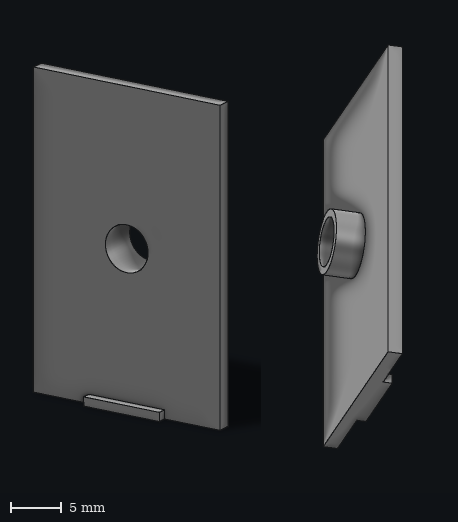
import cadquery as cq

plate_width = 22.0
plate_thickness = 1.5
plate_height = 34.0

boss_diameter = 6.6
boss_length = 3.0
bore_diameter = 5.0

lip_width = 8.9
lip_depth = 0.95
lip_height = 1.0

rear_face_y = plate_thickness / 2
front_face_y = -plate_thickness / 2
bottom_z = -plate_height / 2


def make_plate():
    return cq.Workplane("XY").box(plate_width, plate_thickness, plate_height)


def make_boss():
    return (
        cq.Workplane("XZ", origin=(0, rear_face_y, 0))
        .circle(boss_diameter / 2)
        .extrude(-boss_length)
    )


def make_lip():
    return (
        cq.Workplane("XY", origin=(0, front_face_y, bottom_z))
        .rect(lip_width, 2 * lip_depth)
        .extrude(lip_height)
    )


def make_bore():
    return (
        cq.Workplane("XZ", origin=(0, front_face_y, 0))
        .circle(bore_diameter / 2)
        .extrude(-(plate_thickness + boss_length))
    )


result = make_plate().union(make_boss()).union(make_lip()).cut(make_bore())